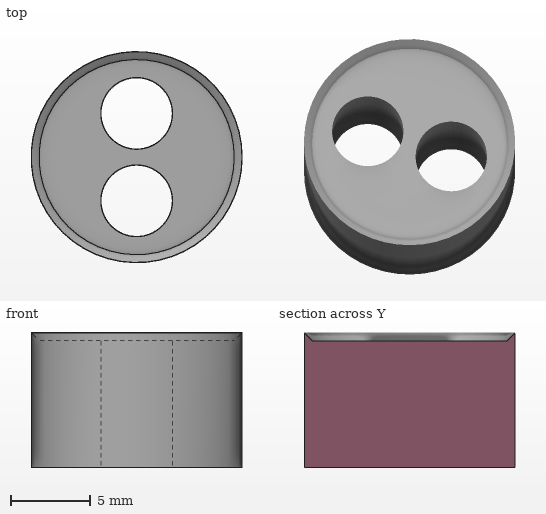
import cadquery as cq

body_diameter = 13.3
body_height = 8.5

recess_depth = 0.5
recess_floor_diameter = body_diameter - 2 * recess_depth

hole_diameter = 4.5
hole_spacing = 5.5

body = cq.Workplane("XY").circle(body_diameter / 2).extrude(body_height)

recess = (
    cq.Workplane("XY", origin=(0, 0, body_height - recess_depth))
    .circle(recess_floor_diameter / 2)
    .workplane(offset=recess_depth)
    .circle(body_diameter / 2)
    .loft(ruled=True)
)

holes = (
    cq.Workplane("XY")
    .pushPoints([(0, -hole_spacing / 2), (0, hole_spacing / 2)])
    .circle(hole_diameter / 2)
    .extrude(body_height)
)

result = body.cut(recess).cut(holes)